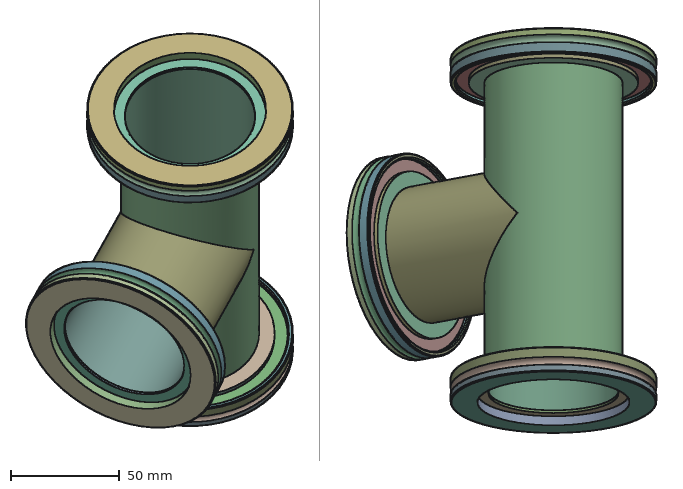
import cadquery as cq

run_length = 166.0
flange_diameter = 95.0
total_depth = 130.5
branch_reach = total_depth - flange_diameter / 2

tube_outer_radius = 63.7 / 2
tube_inner_radius = 60.3 / 2

flange_radius = flange_diameter / 2
flange_thickness = 12.0
edge_chamfer = 0.5
bore_radius = 60.0 / 2
face_recess_radius = 70.0 / 2
face_recess_depth = 4.3
lip_thickness = 1.3
socket_start = face_recess_depth + lip_thickness

rim_groove_start = 3.3
rim_groove_width = 3.7
rim_groove_depth = 1.7

back_groove_inner_radius = 78.0 / 2
back_groove_outer_radius = 90.0 / 2
back_groove_depth = 2.0
back_groove_chamfer = 0.7

port_planes = [
    cq.Plane(origin=(0, 0, run_length / 2), xDir=(1, 0, 0), normal=(0, 0, -1)),
    cq.Plane(origin=(0, 0, -run_length / 2), xDir=(1, 0, 0), normal=(0, 0, 1)),
    cq.Plane(origin=(0, -branch_reach, 0), xDir=(1, 0, 0), normal=(0, 1, 0)),
]


def ring(plane, start, length, outer_radius, inner_radius):
    """Ring around the plane normal, beginning at the given distance along it."""
    return (
        cq.Workplane(plane)
        .workplane(offset=start)
        .circle(outer_radius)
        .circle(inner_radius)
        .extrude(length)
    )


def disc(plane, start, length, radius):
    """Solid cylinder along the plane normal, beginning at the given distance along it."""
    return cq.Workplane(plane).workplane(offset=start).circle(radius).extrude(length)


def make_rim_groove():
    """Rounded ring to cut from the rim of a flange that has its face at Z = 0."""
    groove_middle = rim_groove_start + rim_groove_width / 2
    groove_end = rim_groove_start + rim_groove_width
    cutter_radius = flange_radius + rim_groove_depth
    return (
        cq.Workplane("XZ")
        .moveTo(cutter_radius, rim_groove_start)
        .lineTo(flange_radius, rim_groove_start)
        .threePointArc((flange_radius - rim_groove_depth, groove_middle), (flange_radius, groove_end))
        .lineTo(cutter_radius, groove_end)
        .close()
        .revolve(360, (0, 0, 0), (0, 1, 0))
    )


def make_back_groove():
    """Ring to cut from the back of a flange that has its face at Z = 0."""
    groove_floor = flange_thickness - back_groove_depth
    mouth_radius = back_groove_outer_radius + back_groove_chamfer
    return (
        cq.Workplane("XZ")
        .polyline([
            (back_groove_inner_radius, groove_floor),
            (back_groove_outer_radius, groove_floor),
            (back_groove_outer_radius, flange_thickness - back_groove_chamfer),
            (mouth_radius, flange_thickness),
            (back_groove_inner_radius, flange_thickness),
        ])
        .close()
        .revolve(360, (0, 0, 0), (0, 1, 0))
    )


def make_flange(port_plane):
    """Flange with its sealing face on the port plane."""
    face = cq.Plane.XY()
    body = disc(face, 0, flange_thickness, flange_radius).edges().chamfer(edge_chamfer)
    body = body.cut(disc(face, 0, flange_thickness, bore_radius))
    body = body.cut(disc(face, 0, face_recess_depth, face_recess_radius))
    body = body.cut(disc(face, socket_start, flange_thickness - socket_start, tube_outer_radius))
    body = body.cut(make_rim_groove())
    body = body.cut(make_back_groove())
    return body.val().Solids()[0].moved(cq.Location(port_plane))


def make_mitre_wedge():
    """Right-angled wedge on the branch side, its edge along X through the crossing of the tube axes."""
    return (
        cq.Workplane("YZ")
        .polyline([(0, 0), (-branch_reach, -branch_reach), (-branch_reach, branch_reach)])
        .close()
        .extrude(flange_radius, both=True)
    )


def make_run_tube():
    """Straight tube along Z, with a right-angled notch for the branch tube."""
    tube_length = run_length - 2 * socket_start
    tube = ring(port_planes[0], socket_start, tube_length, tube_outer_radius, tube_inner_radius)
    return tube.cut(make_mitre_wedge())


def make_branch_tube():
    """Tube along Y, its inner end mitred to a point that fills the notch in the run tube."""
    tube_length = branch_reach - socket_start
    tube = ring(port_planes[2], socket_start, tube_length, tube_outer_radius, tube_inner_radius)
    return tube.intersect(make_mitre_wedge())


flanges = [make_flange(plane) for plane in port_planes]
run_tube = make_run_tube()
branch_tube = make_branch_tube()

result = cq.Compound.makeCompound([run_tube.val(), branch_tube.val(), *flanges])